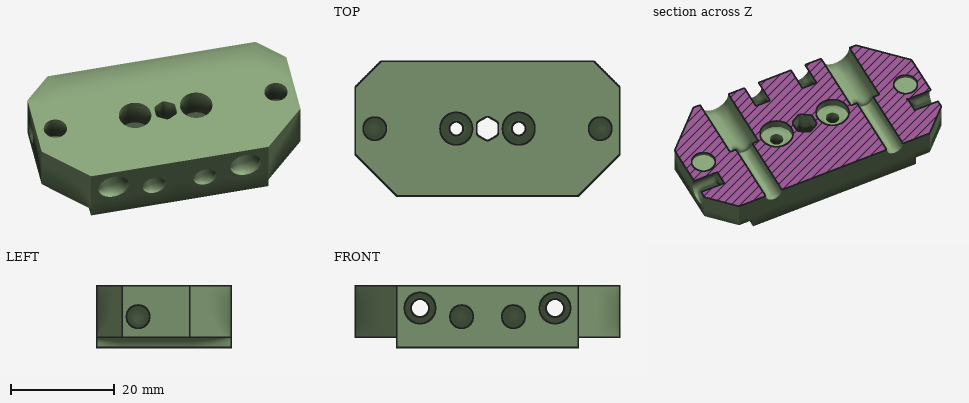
import cadquery as cq
import math

length = 51.0
width = 26.0
height = 12.0
front_corner = 8.0
rear_corner = 5.0

foot_height = 2.0
foot_length = length - 2 * front_corner

pin_diameter = 4.5
pin_depth = 5.0
top_pin_x = 21.75
front_pin_x = 5.0
end_pin_y = 5.0
pin_z = height / 2

top_screw_x = 6.0
top_screw_diameter = 2.6
top_bore_diameter = 6.25
top_bore_depth = height / 2

front_screw_x = 13.0
front_screw_z = height - 4.35
front_screw_diameter = 3.4
front_bore_diameter = 6.0
front_bore_depth = width / 2

hexagon_flats = 4.15
hexagon_corner_radius = 0.75


def cylinder(start, direction, diameter, depth):
    """Make a cylinder running from start along direction."""
    return cq.Workplane(cq.Solid.makeCylinder(diameter / 2, depth, cq.Vector(*start), cq.Vector(*direction)))


def counterbored_hole(start, direction, diameter, depth, bore_diameter, bore_depth):
    """Make the cutter for a through hole with a wider mouth."""
    hole = cylinder(start, direction, diameter, depth)
    return hole.union(cylinder(start, direction, bore_diameter, bore_depth))


def make_body():
    """Make the block with cut corners and its narrower foot."""
    block_height = height - foot_height
    block = cq.Workplane("XY").workplane(offset=foot_height).box(
        length, width, block_height, centered=(True, True, False)
    )
    block = block.edges("|Z and <Y").chamfer(front_corner)
    block = block.edges("|Z and >Y").chamfer(rear_corner)
    foot = cq.Workplane("XY").box(foot_length, width, foot_height, centered=(True, True, False))
    return block.union(foot)


def make_central_opening():
    """Make the cutter for the rounded hexagonal opening, with flats facing X."""
    across_corners = hexagon_flats / math.cos(math.radians(30))
    opening = cq.Workplane("XY").polygon(6, across_corners).extrude(height)
    opening = opening.rotate((0, 0, 0), (0, 0, 1), 30)
    return opening.edges("|Z").fillet(hexagon_corner_radius)


result = make_body().cut(make_central_opening())
front = -width / 2
down = (0, 0, -1)
rearward = (0, 1, 0)

for side in (-1, 1):
    result = result.cut(cylinder((side * top_pin_x, 0, height), down, pin_diameter, pin_depth))
    result = result.cut(cylinder((side * front_pin_x, front, pin_z), rearward, pin_diameter, pin_depth))
    result = result.cut(
        cylinder((side * length / 2, end_pin_y, pin_z), (-side, 0, 0), pin_diameter, pin_depth)
    )
    result = result.cut(
        counterbored_hole(
            (side * top_screw_x, 0, height), down,
            top_screw_diameter, height, top_bore_diameter, top_bore_depth,
        )
    )
    result = result.cut(
        counterbored_hole(
            (side * front_screw_x, front, front_screw_z), rearward,
            front_screw_diameter, width, front_bore_diameter, front_bore_depth,
        )
    )